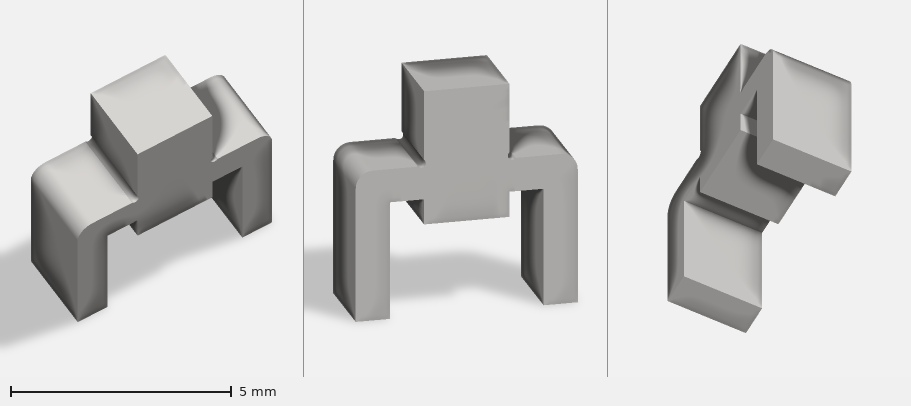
import cadquery as cq

width = 2.0
span = 5.2
height = 5.4

wall = 0.8
bridge_top = 3.6
corner_radius = 0.4

block_depth = 2.0
block_bottom = 2.2

relief_radius = 0.1
relief_offset = 0.065


def box_on(bottom, top, depth):
    """Full-width box centred in X and Y, between two heights."""
    return cq.Workplane("XY").workplane(offset=bottom).rect(width, depth).extrude(top - bottom)


def make_bracket():
    outer = box_on(0, bridge_top, span).edges("|X and >Z").fillet(corner_radius)
    opening = box_on(0, bridge_top - wall, span - 2 * wall)
    return outer.cut(opening)


def make_reliefs():
    groove_y = block_depth / 2 + relief_offset
    groove_z = bridge_top + relief_offset
    return (
        cq.Workplane("YZ")
        .pushPoints([(-groove_y, groove_z), (groove_y, groove_z)])
        .circle(relief_radius)
        .extrude(width / 2, both=True)
    )


block = box_on(block_bottom, height, block_depth)
result = make_bracket().union(block).cut(make_reliefs())